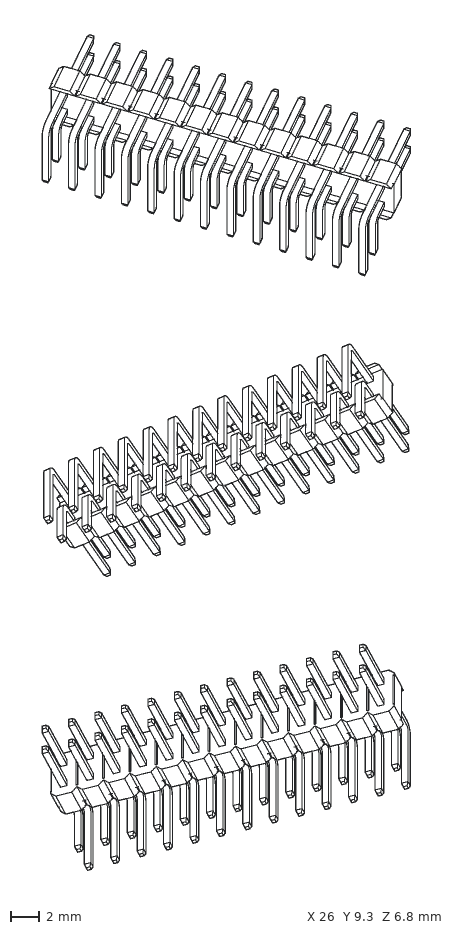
import cadquery as cq

length = 26.0
columns = 13
pitch = length / columns
housing_height = 2 * pitch
flange_depth = pitch
core_depth = 0.75 * pitch
flange_thickness = 0.36
notch_depth = pitch / 5
groove_depth = 0.08
groove_height = 2.8

pin_size = pitch / 4
row_spacing = pitch
back_reach = 2 * pitch
overall_depth = 4.65 * pitch
overall_height = 3.4 * pitch
bend_outer_radius = 0.75
tip_length = 0.29
tip_inset = 0.1

half_length = length / 2
front_y = back_reach - overall_depth
top_z = housing_height / 2
pin_end_z = top_z - overall_height
first_column_x = -(columns - 1) / 2 * pitch


def make_bar(depth, height):
    """Full-length bar, centred in X and Z, reaching forward from the back face."""
    return cq.Workplane("XZ").rect(length, height).extrude(depth)


def make_notch(x, side):
    """V-notch across the top (side = 1) or bottom (side = -1) of the housing at x."""
    face_z = side * top_z
    apex_z = side * (top_z - notch_depth)
    return (
        cq.Workplane("XZ")
        .polyline([(x - notch_depth, face_z), (x + notch_depth, face_z), (x, apex_z)])
        .close()
        .extrude(flange_depth)
    )


def make_back_groove(x):
    """Shallow upright V-groove in the back face of the housing at x."""
    return (
        cq.Workplane("XY", origin=(0, 0, -groove_height / 2))
        .polyline([(x - groove_depth, 0), (x + groove_depth, 0), (x, -groove_depth)])
        .close()
        .extrude(groove_height)
    )


def make_housing():
    """Core bar with two overhanging front flanges, notched at both ends and between columns."""
    channel_height = housing_height - 2 * flange_thickness
    channel = make_bar(flange_depth, channel_height).cut(make_bar(core_depth, channel_height))
    housing = make_bar(flange_depth, housing_height).cut(channel)

    for boundary in range(columns + 1):
        x = -half_length + boundary * pitch
        housing = housing.cut(make_notch(x, 1))
        housing = housing.cut(make_notch(x, -1))
        housing = housing.cut(make_back_groove(x))
    return housing


def make_tip(base_plane):
    """Tapered pin end, growing outward from the given plane."""
    end_size = pin_size - 2 * tip_inset
    return (
        cq.Workplane(base_plane)
        .rect(pin_size, pin_size)
        .workplane(offset=tip_length)
        .rect(end_size, end_size)
        .loft(ruled=True)
    )


def make_pin(x, row_z, outer_y):
    """Bent square pin centred on x and row_z, with its downward leg's front face at outer_y."""
    half = pin_size / 2
    upper_z = row_z + half
    lower_z = row_z - half
    inner_y = outer_y + pin_size
    bend_y = outer_y + bend_outer_radius
    bend_z = upper_z - bend_outer_radius
    bend_inner_radius = bend_outer_radius - pin_size
    back_y = back_reach - tip_length
    leg_z = pin_end_z + tip_length

    pin = (
        cq.Workplane("YZ", origin=(x - half, 0, 0))
        .moveTo(back_y, upper_z)
        .lineTo(bend_y, upper_z)
        .radiusArc((outer_y, bend_z), -bend_outer_radius)
        .lineTo(outer_y, leg_z)
        .lineTo(inner_y, leg_z)
        .lineTo(inner_y, bend_z)
        .radiusArc((bend_y, lower_z), bend_inner_radius)
        .lineTo(back_y, lower_z)
        .close()
        .extrude(pin_size)
    )
    back_plane = cq.Plane(origin=(x, back_y, row_z), xDir=(1, 0, 0), normal=(0, 1, 0))
    leg_plane = cq.Plane(origin=(x, outer_y + half, leg_z), xDir=(1, 0, 0), normal=(0, 0, -1))
    return pin.union(make_tip(back_plane)).union(make_tip(leg_plane))


result = make_housing()
for column in range(columns):
    column_x = first_column_x + column * pitch
    result = result.union(make_pin(column_x, row_spacing / 2, front_y))
    result = result.union(make_pin(column_x, -row_spacing / 2, front_y + row_spacing))